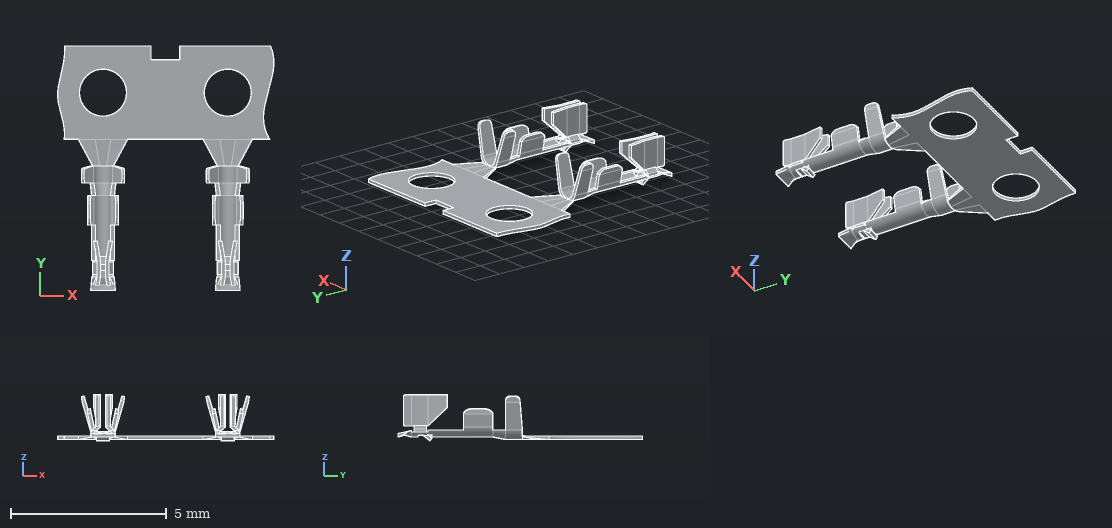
import cadquery as cq
import math

sheet = 0.12
pitch = 4.0

strip_depth = 3.0
hole_diameter = 1.5
notch_width = 0.92
notch_depth = 0.44
left_tear = [(-3.235, strip_depth), (-3.28, 2.42), (-3.46, 1.38), (-3.26, 0.4), (-3.25, 0)]
right_tear = [(3.35, 0), (3.19, 1.05), (3.485, 2.42), (3.375, strip_depth)]

insulation_start = -0.855
insulation_end = -1.405
conductor_start = -1.805
conductor_end = -2.755
full_rim_end = -3.89
lip_start = -4.41
terminal_end = strip_depth - 7.85

web_root_half = 0.79
web_root_floor_half = 0.25
web_tip_half = 0.34
web_tip_floor_half = 0.11
web_tip_edge_bottom = 0.09
web_tip_edge_top = 0.125
web_tip_floor_top = 0.095

rim_height = 0.315
insulation_radius = 0.43
insulation_bottom = 0.0
conductor_radius = 0.41
conductor_bottom = 0.08

insulation_lean = 16
insulation_top = 1.405
insulation_taper = 0.09
insulation_corner = 0.16
conductor_lean = 12
conductor_top = 1.0
conductor_corner_run = 0.26
conductor_corner_drop = 0.15
insulation_crease_drop = 0.18
tip_thinning = 0.02

blade_rear = -3.265
blade_front = -4.68
blade_top = 1.445
blade_bottom = 0.43
blade_rear_bottom = 1.03
blade_inner = 0.08
blade_splay = 9.5
blade_corner = 0.07

neck_start = -3.93
neck_end = -4.34
neck_rim = 0.25
neck_bend_radius = 0.08
neck_bend_z = 0.28

lip_rim = 0.3
lip_half = 0.4

lance_width = 0.42
lance_root = -4.21
lance_bend = -4.05
lance_tip = -3.82
lance_tip_height = blade_top - 1.48
lance_window_end = -3.76


def cross_plane(y):
    """Plane across the terminal at station y, facing -Y, with Z up."""
    return cq.Workplane("XZ", origin=(0, y, 0))


def arc_half_width(radius, center, z):
    return math.sqrt(radius**2 - (center - z) ** 2)


def trough_wire(plane, radius, bottom, rim):
    """Arc-shaped sheet section cut off level at the rim."""
    center = bottom + radius
    outer = arc_half_width(radius, center, rim)
    inner = arc_half_width(radius - sheet, center, rim)
    return (
        plane.moveTo(-outer, rim)
        .threePointArc((0, bottom), (outer, rim))
        .lineTo(inner, rim)
        .threePointArc((0, bottom + sheet), (-inner, rim))
        .close()
    )


def trough(start, end, rim):
    return trough_wire(cross_plane(start), conductor_radius, conductor_bottom, rim).extrude(start - end)


def both_sides(half):
    return half.union(half.mirror("YZ"))


def carrier_strip():
    plate = (
        cq.Workplane("XY")
        .moveTo(*left_tear[0])
        .spline(left_tear[1:], includeCurrent=True)
        .lineTo(*right_tear[0])
        .spline(right_tear[1:], includeCurrent=True)
        .close()
        .extrude(sheet)
    )
    holes = (
        cq.Workplane("XY")
        .pushPoints([(-pitch / 2, strip_depth / 2), (pitch / 2, strip_depth / 2)])
        .circle(hole_diameter / 2)
        .extrude(sheet)
    )
    notch = cq.Workplane("XY").center(0, strip_depth).rect(notch_width, 2 * notch_depth).extrude(sheet)
    return plate.cut(holes).cut(notch)


def web():
    """Tapering web with thinned, slightly raised edges and a floor that dips towards the barrel."""

    def outline(half, floor_half, floor_top, edge_bottom, edge_top):
        lower = [(-half, edge_bottom), (-floor_half, 0), (floor_half, 0), (half, edge_bottom)]
        upper = [(half, edge_top), (floor_half, floor_top), (-floor_half, floor_top), (-half, edge_top)]
        return lower + upper

    root = outline(web_root_half, web_root_floor_half, sheet, 0, sheet)
    tip = outline(web_tip_half, web_tip_floor_half, web_tip_floor_top, web_tip_edge_bottom, web_tip_edge_top)
    return (
        cross_plane(0)
        .polyline(root)
        .close()
        .workplane(offset=-insulation_start)
        .polyline(tip)
        .close()
        .loft(ruled=True)
    )


def barrel_floor(start, end, radius, bottom, lean):
    """Arc of a crimp barrel, ending where the straight wings begin."""
    center = bottom + radius
    across = math.cos(math.radians(lean))
    down = math.sin(math.radians(lean))
    inner = radius - sheet
    return (
        cross_plane(start)
        .moveTo(-radius * across, center - radius * down)
        .threePointArc((0, bottom), (radius * across, center - radius * down))
        .lineTo(inner * across, center - inner * down)
        .threePointArc((0, bottom + sheet), (-inner * across, center - inner * down))
        .close()
        .extrude(start - end)
    )


def wing_plane(radius, bottom, lean):
    """Outer face of the +X wing: local x along Y, local y up the wing from the barrel arc."""
    across = math.cos(math.radians(lean))
    down = math.sin(math.radians(lean))
    origin = (radius * across, 0, bottom + radius - radius * down)
    return cq.Workplane(cq.Plane(origin=origin, xDir=(0, 1, 0), normal=(across, 0, -down)))


def wing_length(radius, bottom, lean, top):
    """Length up the outer face so that the higher, inner edge reaches the top height."""
    angle = math.radians(lean)
    base = bottom + radius - radius * math.sin(angle)
    return (top - base - sheet * math.sin(angle)) / math.cos(angle)


def tip_wedge(radius, bottom, lean, length, crease_drop):
    """Wedge that thins the outer face of the +X wing above a crease."""
    plane = wing_plane(radius, bottom, lean).plane
    crease, top, thinned = (
        plane.toWorldCoords(point)
        for point in [
            (0, length - crease_drop, 0),
            (0, length, 0),
            (0, length, -tip_thinning),
        ]
    )
    return (
        cross_plane(insulation_start)
        .polyline([(crease.x, crease.z), (top.x, top.z), (thinned.x, thinned.z)])
        .close()
        .extrude(insulation_start - conductor_end)
    )


def insulation_barrel():
    shape = (insulation_radius, insulation_bottom, insulation_lean)
    length = wing_length(*shape, insulation_top)
    wing = (
        wing_plane(*shape)
        .moveTo(insulation_start, 0)
        .lineTo(insulation_start - insulation_taper, length)
        .lineTo(insulation_end, length)
        .lineTo(insulation_end, 0)
        .close()
        .extrude(-sheet)
        .faces(">Z")
        .edges("not |Y")
        .fillet(insulation_corner)
    )
    wing = wing.cut(tip_wedge(*shape, length, insulation_crease_drop))
    return barrel_floor(insulation_start, insulation_end, *shape).union(both_sides(wing))


def conductor_barrel():
    shape = (conductor_radius, conductor_bottom, conductor_lean)
    length = wing_length(*shape, conductor_top)
    shoulder = length - conductor_corner_drop
    corner_radius = (conductor_corner_run**2 + conductor_corner_drop**2) / (2 * conductor_corner_drop)
    half_turn = math.asin(conductor_corner_run / corner_radius) / 2
    flat_start = conductor_start - conductor_corner_run
    flat_end = conductor_end + conductor_corner_run
    arc_run = corner_radius * math.sin(half_turn)
    arc_height = length - corner_radius * (1 - math.cos(half_turn))
    wing = (
        wing_plane(*shape)
        .moveTo(conductor_end, 0)
        .lineTo(conductor_start, 0)
        .lineTo(conductor_start, shoulder)
        .threePointArc((flat_start + arc_run, arc_height), (flat_start, length))
        .lineTo(flat_end, length)
        .threePointArc((flat_end - arc_run, arc_height), (conductor_end, shoulder))
        .close()
        .extrude(-sheet)
    )
    wing = wing.cut(tip_wedge(*shape, length, conductor_corner_drop))
    return barrel_floor(conductor_start, conductor_end, *shape).union(both_sides(wing))


def barrel_transition():
    """Trough narrowing and rising from the insulation barrel to the conductor barrel."""
    wide = trough_wire(cross_plane(insulation_end), insulation_radius, insulation_bottom, rim_height)
    plane = wide.workplane(offset=insulation_end - conductor_start)
    return trough_wire(plane, conductor_radius, conductor_bottom, rim_height).loft(ruled=True)


def contact_blades():
    """Upright blades, parallel in the middle and splayed outwards at both ends."""
    slope = math.tan(math.radians(blade_splay))
    inner_line = [
        (blade_inner + slope * (blade_rear - full_rim_end), blade_rear),
        (blade_inner, full_rim_end),
        (blade_inner, lip_start),
        (blade_inner + slope * (lip_start - blade_front), blade_front),
    ]
    outer_line = [(x + sheet, y) for x, y in reversed(inner_line)]
    bent_sheet = cq.Workplane("XY").polyline(inner_line + outer_line).close().extrude(blade_top)
    silhouette = (
        cq.Workplane("YZ")
        .polyline(
            [
                (blade_rear, blade_top),
                (blade_rear, blade_rear_bottom),
                (full_rim_end, blade_bottom),
                (blade_front, blade_bottom),
                (blade_front, blade_top),
            ]
        )
        .close()
        .extrude(pitch / 2)
        .edges("|X and <Y")
        .fillet(blade_corner)
    )
    return both_sides(bent_sheet.intersect(silhouette))


def blade_necks():
    """Folded necks that lead from the trough rim inwards and up to the blades."""
    rim_half = arc_half_width(conductor_radius, conductor_bottom + conductor_radius, neck_rim)
    neck_bend_x = rim_half - math.sqrt(neck_bend_radius**2 - (neck_bend_z - neck_rim) ** 2)
    diagonal = math.sqrt(0.5)
    bend_end_x = neck_bend_x + neck_bend_radius * diagonal
    bend_end_z = neck_bend_z + neck_bend_radius * diagonal
    blade_outer = blade_inner + sheet
    outer_line_sum = bend_end_x + bend_end_z
    inner_line_sum = outer_line_sum - sheet / diagonal
    neck = (
        cross_plane(neck_start)
        .moveTo(rim_half, neck_rim)
        .threePointArc((neck_bend_x + neck_bend_radius, neck_bend_z), (bend_end_x, bend_end_z))
        .lineTo(blade_outer, outer_line_sum - blade_outer)
        .lineTo(blade_inner, outer_line_sum - blade_outer)
        .lineTo(blade_inner, inner_line_sum - blade_inner)
        .lineTo(inner_line_sum - neck_rim, neck_rim)
        .close()
        .extrude(neck_start - neck_end)
    )
    return both_sides(neck)


def flared_lip():
    """Trough flattening out into a plate at the terminal end."""
    start = trough_wire(cross_plane(lip_start), conductor_radius, conductor_bottom, lip_rim)
    return (
        start.workplane(offset=lip_start - terminal_end)
        .moveTo(-lip_half, conductor_bottom)
        .lineTo(lip_half, conductor_bottom)
        .lineTo(lip_half, conductor_bottom + sheet)
        .lineTo(-lip_half, conductor_bottom + sheet)
        .close()
        .loft(ruled=True)
    )


def lance():
    """Tongue that is level at its root and bends down towards the strip."""
    window_half = lance_width / 2
    center = conductor_bottom + conductor_radius
    underside = center - math.sqrt(conductor_radius**2 - window_half**2)
    slope = math.atan2(underside - lance_tip_height, lance_tip - lance_bend)
    top_bend = lance_bend + sheet * math.tan(slope / 2)
    return (
        cq.Workplane("YZ")
        .polyline(
            [
                (lance_root, underside),
                (lance_bend, underside),
                (lance_tip, lance_tip_height),
                (lance_tip + sheet * math.sin(slope), lance_tip_height + sheet * math.cos(slope)),
                (top_bend, underside + sheet),
                (lance_root, underside + sheet),
            ]
        )
        .close()
        .extrude(window_half, both=True)
    )


def terminal():
    body = (
        web()
        .union(insulation_barrel())
        .union(barrel_transition())
        .union(conductor_barrel())
        .union(trough(conductor_start, full_rim_end, rim_height))
        .union(trough(full_rim_end, lip_start, neck_rim))
        .union(flared_lip())
        .union(blade_necks())
        .union(contact_blades())
    )
    window = (
        cq.Workplane("XY")
        .center(0, (lance_root + lance_window_end) / 2)
        .rect(lance_width, lance_window_end - lance_root)
        .extrude(rim_height)
    )
    return body.cut(window).union(lance())


part = terminal()
result = carrier_strip()
for side in (-1, 1):
    result = result.union(part.translate((side * pitch / 2, 0, 0)))